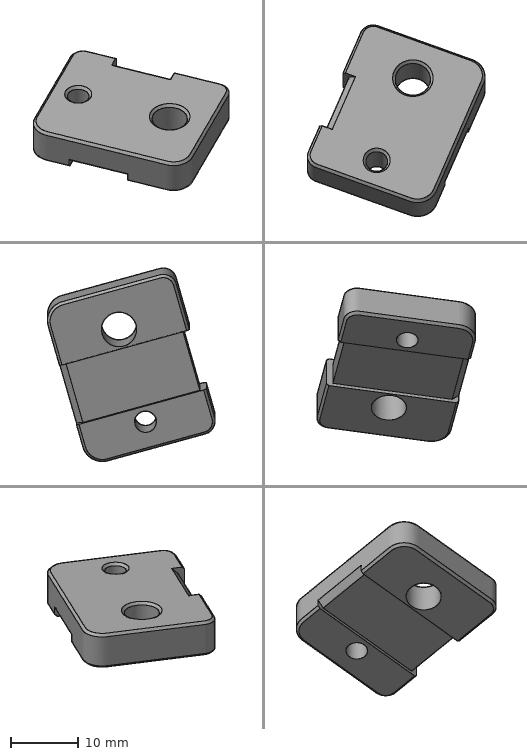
import cadquery as cq

length = 25.0
width = 20.0
height = 5.6
front_corner_radius = 3.0
back_corner_radius = 2.0
edge_chamfer = 0.4

holes = [(-8.25, 3.2), (6.25, 5.2)]

channel_left = -5.95
channel_width = 9.3
channel_floor_depth = 0.6
channel_back_depth = 1.0
channel_chamfer = 1.0


def make_block():
    """Rounded plate with chamfered top and bottom rims."""
    block = cq.Workplane("XY").box(length, width, height, centered=(True, True, False))
    block = block.edges("|Z and <Y").fillet(front_corner_radius)
    block = block.edges("|Z and >Y").fillet(back_corner_radius)
    return block.faces("<Z or >Z").edges().chamfer(edge_chamfer)


def drill(body, x, diameter):
    """Through hole with its top rim chamfered."""
    radius = diameter / 2
    rim_radius = radius + edge_chamfer
    profile = [
        (0, 0),
        (radius, 0),
        (radius, height - edge_chamfer),
        (rim_radius, height),
        (0, height),
    ]
    cutter = cq.Workplane("XZ").polyline(profile).close().revolve(360, (0, 0), (0, 1))
    return body.cut(cutter.translate((x, 0, 0)))


def make_channel():
    """L-shaped channel, bevelled where it meets the front and top faces."""
    front = -width / 2
    back = width / 2
    back_wall = back - channel_back_depth
    profile = [
        (front, 0),
        (front, channel_floor_depth + channel_chamfer),
        (front + channel_chamfer, channel_floor_depth),
        (back_wall, channel_floor_depth),
        (back_wall, height - channel_chamfer),
        (back_wall - channel_chamfer, height),
        (back, height),
        (back, 0),
    ]
    channel = cq.Workplane("YZ").polyline(profile).close().extrude(channel_width)
    return channel.translate((channel_left, 0, 0))


result = make_block()
for hole_x, hole_diameter in holes:
    result = drill(result, hole_x, hole_diameter)
result = result.cut(make_channel())